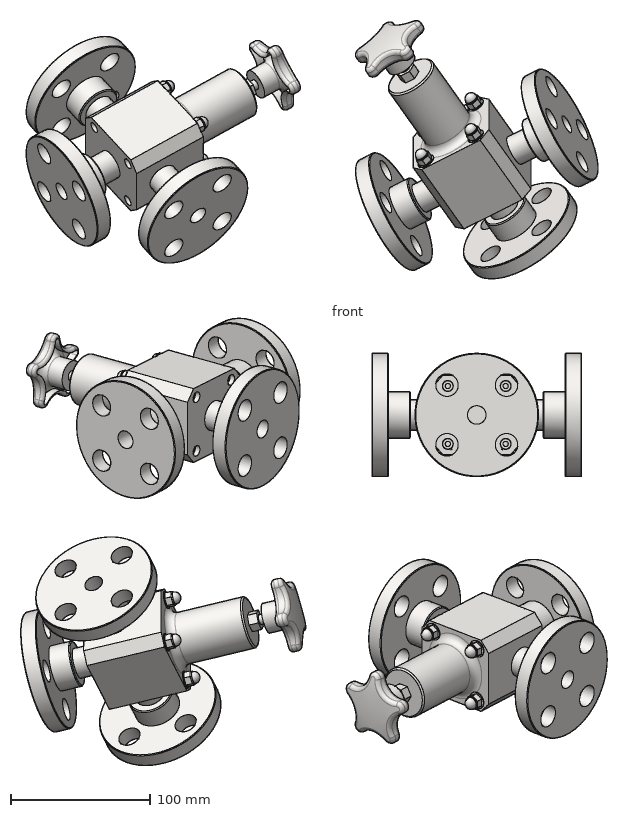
import cadquery as cq
import math


side_face_x = 75.4
front_face_y = -66.7
wheel_top_y = 129.5

body_width = 63.3
body_height = 57.3
body_front_y = -23.0
body_back_y = 36.0
body_corner_x = 7.3
body_corner_z = 8.2

flange_dia = 88.8
flange_thickness = 12.0
flange_edge = 0.5
flange_hole_dia = 16.0
flange_hole_offset = 21.4
hub_dia = 33.5
hub_length = 15.9
hub_edge = 0.8
pipe_dia = 22.2
bore_dia = 13.3

bonnet_dia = 38.0
bonnet_top_y = 93.1
bonnet_edge = 1.2
bonnet_root_radius = 6.0
gland_flats = 12.7
gland_top_y = 100.2

stem_dia = 7.5
wheel_hub_dia = 22.2
wheel_hub_y = 105.0
wheel_rim_y = 117.5
lobe_count = 5
lobe_circle_radius = 23.5
lobe_radius = 5.0
valley_radius = 14.7
crown_radius = 113.7
wheel_top_round = 3.1
wheel_bottom_round = 2.7
wheel_recess_depth = 6.3
wheel_hub_root_radius = 5.9

bolt_offset = 20.8
washer_dia = 12.7
washer_thickness = 0.5
nut_flats = 9.6
nut_height = 4.7
nut_collar_height = 1.0
nut_dome_dia = 9.0
nut_dome_y = 47.0
bolt_pocket_dia = 7.8
bolt_pocket_depth = 4.7
bolt_dia = 7.5
bolt_tip_length = 0.8
bolt_center_dia = 3.7
bolt_center_depth = 1.5


def plane_at(y):
    """Plane across the stem axis, facing +Y, with its local X along part Z."""
    return cq.Plane(origin=(0, y, 0), xDir=(0, 0, 1), normal=(0, 1, 0))


def rod(diameter, y_start, y_end):
    return cq.Workplane(plane_at(y_start)).circle(diameter / 2).extrude(y_end - y_start)


def hexagon(flats, y_start, y_end, turn=0):
    """Hexagonal prism with two corners along Z, then turned about its axis by turn degrees."""
    corners = flats / math.cos(math.pi / 6)
    prism = cq.Workplane(plane_at(y_start)).polygon(6, corners).extrude(y_end - y_start)
    return prism.rotate((0, 0, 0), (0, 1, 0), turn)


def at_square_corners(shape, offset):
    """Four copies of a shape, at the corners of a square around the Y axis."""
    copies = cq.Workplane()
    for x in (-offset, offset):
        for z in (-offset, offset):
            copies = copies.add(shape.translate((x, 0, z)))
    return copies.combine()


def make_body():
    half_width = body_width / 2
    half_height = body_height / 2
    flat_x = half_width - body_corner_x
    flat_z = half_height - body_corner_z
    outline = [
        (half_width, -flat_z), (half_width, flat_z), (flat_x, half_height), (-flat_x, half_height),
        (-half_width, flat_z), (-half_width, -flat_z), (-flat_x, -half_height), (flat_x, -half_height),
    ]
    section = cq.Workplane("XZ", origin=(0, body_back_y, 0)).polyline(outline).close()
    return section.extrude(body_back_y - body_front_y)


def make_port(face_y, body_y):
    """Flange, hub and pipe on the -Y side, with a blind bore ending at the body."""
    flange_back_y = face_y + flange_thickness
    hub_end_y = flange_back_y + hub_length
    flange = rod(flange_dia, face_y, flange_back_y).edges().chamfer(flange_edge)
    bolt_hole = rod(flange_hole_dia, face_y, flange_back_y)
    flange = flange.cut(at_square_corners(bolt_hole, flange_hole_offset))
    hub = rod(hub_dia, flange_back_y, hub_end_y).faces(">Y").edges().chamfer(hub_edge)
    pipe = rod(pipe_dia, hub_end_y, body_y)
    return flange.union(hub).union(pipe).cut(rod(bore_dia, face_y, body_y))


def root_flare(diameter, root_y, radius, direction):
    """Concave ring around a rod, fanning out to root_y; the rod leaves it along direction (+1 or -1)."""
    rod_radius = diameter / 2
    tangent_y = root_y + direction * radius
    arc_inset = radius * (1 - math.sqrt(0.5))
    profile = (
        cq.Workplane("XY")
        .moveTo(0, root_y)
        .lineTo(rod_radius + radius, root_y)
        .threePointArc(
            (rod_radius + arc_inset, root_y + direction * arc_inset), (rod_radius, tangent_y))
        .lineTo(0, tangent_y)
        .close()
    )
    return profile.revolve(360, (0, 0, 0), (0, 1, 0))


def make_bonnet():
    """Cylinder with a concave flare at its foot, carrying the gland nut."""
    bonnet = rod(bonnet_dia, body_back_y, bonnet_top_y).faces(">Y").edges().chamfer(bonnet_edge)
    flare = root_flare(bonnet_dia, body_back_y, bonnet_root_radius, 1)
    gland = hexagon(gland_flats, bonnet_top_y, gland_top_y, turn=90)
    return bonnet.union(flare).union(gland)


def polar(radius, angle):
    return (radius * math.cos(angle), radius * math.sin(angle))


def star_prism(inset, y_start, y_end):
    """Lobed star with one lobe along +Z, its outline moved inward by inset."""
    tip = lobe_radius - inset
    valley = valley_radius + inset
    half_pitch = math.pi / lobe_count
    lobe_along = lobe_circle_radius * math.cos(half_pitch)
    lobe_across = lobe_circle_radius * math.sin(half_pitch)
    valley_center = lobe_along + math.sqrt((valley_radius + lobe_radius) ** 2 - lobe_across ** 2)

    def touch_point(lobe_angle, valley_angle):
        lobe_x, lobe_y = polar(lobe_circle_radius, lobe_angle)
        valley_x, valley_y = polar(valley_center, valley_angle)
        share = tip / (valley_radius + lobe_radius)
        return (lobe_x + share * (valley_x - lobe_x), lobe_y + share * (valley_y - lobe_y))

    outline = cq.Workplane(plane_at(y_start)).moveTo(*touch_point(0, -half_pitch))
    for lobe in range(lobe_count):
        angle = 2 * half_pitch * lobe
        next_valley = angle + half_pitch
        next_lobe = angle + 2 * half_pitch
        outline = outline.threePointArc(
            polar(lobe_circle_radius + tip, angle), touch_point(angle, next_valley))
        outline = outline.threePointArc(
            polar(valley_center - valley, next_valley), touch_point(next_lobe, next_valley))
    return outline.close().extrude(y_end - y_start)


def make_handwheel():
    """Crowned five-lobed wheel, hollow underneath, with its hub and stem."""
    crown = cq.Workplane("XY").sphere(crown_radius).translate((0, wheel_top_y - crown_radius, 0))
    wheel = star_prism(0, wheel_rim_y, wheel_top_y).intersect(crown)
    wheel = wheel.faces(">Y").edges().fillet(wheel_top_round)
    wheel = wheel.faces("<Y").edges().fillet(wheel_bottom_round)
    recess_floor_y = wheel_rim_y + wheel_recess_depth
    recess = star_prism(wheel_bottom_round, wheel_rim_y, recess_floor_y)
    hub_root = root_flare(wheel_hub_dia, recess_floor_y, wheel_hub_root_radius, -1)
    wheel = wheel.cut(recess.cut(hub_root))
    hub = rod(wheel_hub_dia, wheel_hub_y, recess_floor_y)
    stem = rod(stem_dia, gland_top_y, wheel_hub_y)
    return wheel.union(hub).union(stem)


def make_cap_nut():
    """Washer, hexagon, collar and dome stacked on the back of the body."""
    hex_start_y = body_back_y + washer_thickness
    hex_end_y = hex_start_y + nut_height
    collar_end_y = hex_end_y + nut_collar_height
    dome_radius = nut_dome_dia / 2
    dome_center_y = nut_dome_y - dome_radius
    washer = rod(washer_dia, body_back_y, hex_start_y)
    nut = hexagon(nut_flats, hex_start_y, hex_end_y)
    collar = rod(nut_flats, hex_end_y, collar_end_y)
    dome = rod(nut_dome_dia, collar_end_y, dome_center_y)
    dome = dome.union(cq.Workplane("XY").sphere(dome_radius).translate((0, dome_center_y, 0)))
    return washer.union(nut).union(collar).union(dome)


def make_bolt_pocket():
    """Round pocket in the front of the body that leaves the centred bolt tip standing."""
    floor_y = body_front_y + bolt_pocket_depth
    tip_y = floor_y - bolt_tip_length
    pocket = rod(bolt_pocket_dia, body_front_y, floor_y)
    tip = rod(bolt_dia, tip_y, floor_y)
    center = rod(bolt_center_dia, tip_y, tip_y + bolt_center_depth)
    return pocket.cut(tip).union(center)


front_port = make_port(front_face_y, body_front_y)
left_port = make_port(-side_face_x, -body_width / 2).rotate((0, 0, 0), (0, 0, 1), -90)
right_port = left_port.mirror("YZ")

result = (
    make_body()
    .cut(at_square_corners(make_bolt_pocket(), bolt_offset))
    .union(front_port)
    .union(left_port)
    .union(right_port)
    .union(make_bonnet())
    .union(make_handwheel())
    .union(at_square_corners(make_cap_nut(), bolt_offset))
)